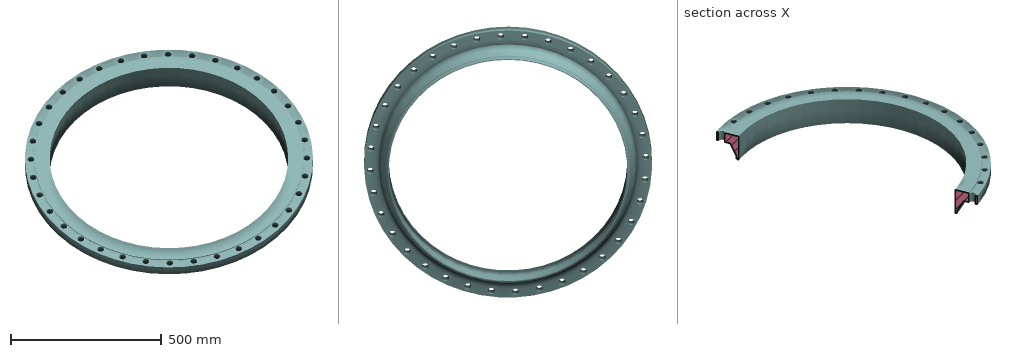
import cadquery as cq

flange_radius = 479.0
raised_face_radius = 448.0
hub_base_radius = 430.0
neck_radius = 407.0
weld_end_radius = 400.0
bore_radius = 397.0

total_height = 94.0
raised_face_height = 3.0
flange_thickness = 34.5
neck_height = 13.0
weld_bevel_height = 5.0

bolt_count = 36
bolt_circle_radius = 459.0
bolt_hole_diameter = 22.0

flange_top = total_height - raised_face_height
flange_bottom = flange_top - flange_thickness


def flange_body():
    """Revolve the half section of the flange, hub and weld neck."""
    section = (
        cq.Workplane("XZ")
        .moveTo(bore_radius, 0)
        .lineTo(weld_end_radius, 0)
        .lineTo(neck_radius, weld_bevel_height)
        .lineTo(neck_radius, neck_height)
        .lineTo(hub_base_radius, flange_bottom)
        .lineTo(flange_radius, flange_bottom)
        .lineTo(flange_radius, flange_top)
        .lineTo(raised_face_radius, flange_top)
        .lineTo(raised_face_radius, total_height)
        .lineTo(bore_radius, total_height)
        .close()
    )
    return section.revolve(360, (0, 0, 0), (0, 1, 0))


def bolt_holes():
    """Cylinders through the flange rim, evenly spaced from the X axis."""
    return (
        cq.Workplane("XY")
        .workplane(offset=flange_bottom)
        .polarArray(bolt_circle_radius, 0, 360, bolt_count)
        .circle(bolt_hole_diameter / 2)
        .extrude(total_height - flange_bottom)
    )


result = flange_body().cut(bolt_holes())